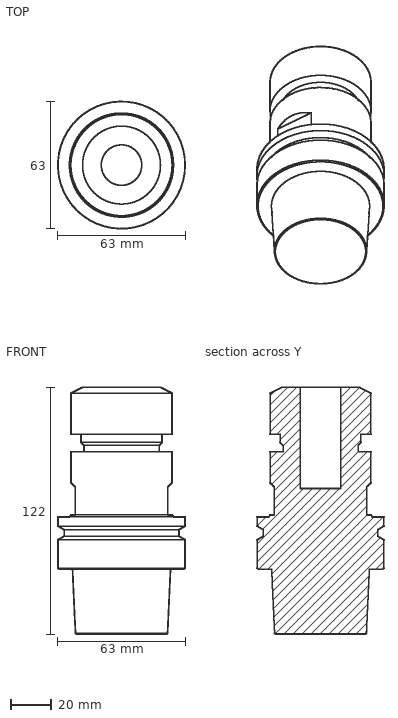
import cadquery as cq

total_height = 122.0
shank_height = 32.0
flange_top = 58.0
groove_floor_bottom = 48.4
groove_floor_top = 51.5
body_foot_height = 1.0
body_top = 90.2
neck_top = 93.2
nut_bottom = 98.7

flange_radius = 31.5
groove_radius = 28.4
body_radius = 25.0
body_foot_radius = 25.7
neck_radius = 18.7
collar_radius = 20.1
nut_face_radius = 19.3
bore_radius = 10.0
shank_top_radius = 24.3
shank_end_radius = 22.8

groove_side_height = 1.8
flange_edge_chamfer = 0.6
shank_end_chamfer = 0.5
collar_cone_height = collar_radius - neck_radius
nut_cone_height = 2.9

bore_depth = 50.0
flat_distance = 22.9
flat_top = 72.7
flat_bottom = flange_top + body_foot_height


def turned_body():
    """Revolve the half profile of the shank, flange, body, neck and nut about Z."""
    profile = [
        (0, 0),
        (shank_end_radius - shank_end_chamfer, 0),
        (shank_end_radius, shank_end_chamfer),
        (shank_top_radius, shank_height),
        (flange_radius - flange_edge_chamfer, shank_height),
        (flange_radius, shank_height + flange_edge_chamfer),
        (flange_radius, groove_floor_bottom - groove_side_height),
        (groove_radius, groove_floor_bottom),
        (groove_radius, groove_floor_top),
        (flange_radius, groove_floor_top + groove_side_height),
        (flange_radius, flange_top),
        (body_foot_radius, flange_top),
        (body_radius, flat_bottom),
        (body_radius, body_top),
        (neck_radius, body_top),
        (neck_radius, neck_top),
        (collar_radius, neck_top + collar_cone_height),
        (collar_radius, nut_bottom),
        (body_radius, nut_bottom),
        (body_radius, total_height - nut_cone_height),
        (nut_face_radius, total_height),
        (0, total_height),
    ]
    return cq.Workplane("XZ").polyline(profile).close().revolve(360, (0, 0, 0), (0, 1, 0))


def flat_cutter(side):
    """Material outside one wrench flat, with a 45 degree run-out at its top."""
    cut_depth = flange_radius - flat_distance
    return (
        cq.Workplane("XZ")
        .moveTo(side * flat_distance, flat_bottom)
        .lineTo(side * flange_radius, flat_bottom)
        .lineTo(side * flange_radius, flat_top + cut_depth)
        .lineTo(side * flat_distance, flat_top)
        .close()
        .extrude(body_radius, both=True)
    )


bore = cq.Workplane("XY").workplane(offset=total_height - bore_depth).circle(bore_radius).extrude(bore_depth)

result = turned_body().cut(bore)
for side in (-1, 1):
    result = result.cut(flat_cutter(side))